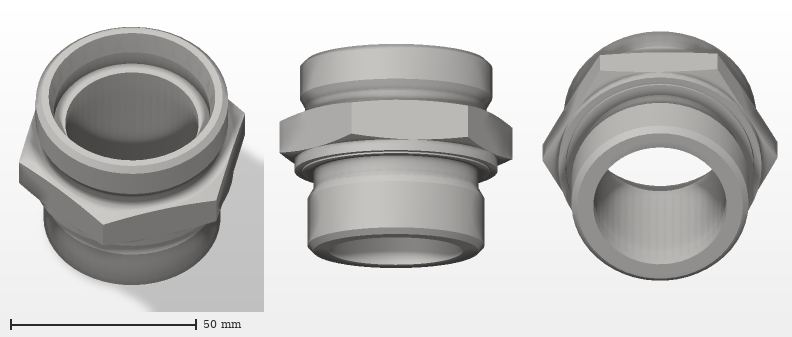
import cadquery as cq
import math

corner_diameter = 63.5
total_height = 52.0

hex_top = 36.0
hex_bottom = 25.1
hex_chamfer_angle = 15.0
collar_diameter = 54.9
collar_bottom = 22.1

upper_thread_diameter = 52.0
upper_thread_bottom = 42.1
upper_neck_diameter = 49.0
upper_root_fillet = 1.2

lower_thread_diameter = 47.8
lower_thread_top = 14.3
lower_neck_diameter = 44.5

thread_chamfer = 1.5
runout_angle = 30.0
upper_runout_fillet = 0.8
lower_runout_fillet = 1.45

bore_diameter = 36.0
socket_diameter = 42.3
socket_depth = 11.1
mouth_diameter = 45.0
mouth_cone_half_angle = 12.0

seal_diameter = 50.7
seal_recess_diameter = 51.0
seal_recess_depth = 1.9
seal_protrusion = 0.4


def cylinder(diameter, bottom, top):
    return cq.Workplane("XY").workplane(offset=bottom).circle(diameter / 2).extrude(top - bottom)


def cone(bottom_diameter, top_diameter, bottom, top):
    """Solid frustum between two heights on the Z axis."""
    return (
        cq.Workplane("XZ")
        .moveTo(0, bottom)
        .lineTo(bottom_diameter / 2, bottom)
        .lineTo(top_diameter / 2, top)
        .lineTo(0, top)
        .close()
        .revolve(360, (0, 0, 0), (0, 1, 0))
    )


def runout_height(thread_diameter, neck_diameter):
    return (thread_diameter - neck_diameter) / 2 / math.tan(math.radians(runout_angle))


def fillet_circle(body, height, radius):
    """Round the runout corner, the only edge lying at this height."""
    margin = 0.03
    reach = corner_diameter
    corner = cq.selectors.BoxSelector(
        (-reach, -reach, height - margin), (reach, reach, height + margin), boundingbox=True
    )
    return body.edges(corner).fillet(radius)


def make_upper_end():
    neck_top = upper_thread_bottom - runout_height(upper_thread_diameter, upper_neck_diameter)
    thread = cylinder(upper_thread_diameter, upper_thread_bottom, total_height)
    thread = thread.faces(">Z").edges().chamfer(thread_chamfer)
    runout = cone(upper_neck_diameter, upper_thread_diameter, neck_top, upper_thread_bottom)
    neck = cylinder(upper_neck_diameter, hex_top, neck_top)
    return fillet_circle(thread.union(runout).union(neck), neck_top, upper_runout_fillet)


def make_lower_end():
    neck_bottom = lower_thread_top + runout_height(lower_thread_diameter, lower_neck_diameter)
    thread = cylinder(lower_thread_diameter, 0, lower_thread_top)
    thread = thread.faces("<Z").edges().chamfer(thread_chamfer)
    runout = cone(lower_thread_diameter, lower_neck_diameter, lower_thread_top, neck_bottom)
    neck = cylinder(lower_neck_diameter, neck_bottom, hex_bottom)
    return fillet_circle(thread.union(runout).union(neck), neck_bottom, lower_runout_fillet)


def make_hexagon():
    """Hexagon with corners on Y, chamfered conically at both ends."""
    hexagon = (
        cq.Workplane("XY")
        .workplane(offset=hex_bottom)
        .transformed(rotate=(0, 0, 90))
        .polygon(6, corner_diameter)
        .extrude(hex_top - hex_bottom)
    )
    middle = (hex_top + hex_bottom) / 2
    spread = (hex_top - middle) / math.tan(math.radians(hex_chamfer_angle))
    middle_diameter = collar_diameter + 2 * spread
    envelope = cone(collar_diameter, middle_diameter, hex_bottom, middle).union(
        cone(middle_diameter, collar_diameter, middle, hex_top)
    )
    return hexagon.intersect(envelope)


def make_root_fillet():
    """Concave ring joining the upper neck to the top of the hexagon."""
    radius = upper_root_fillet
    neck_radius = upper_neck_diameter / 2
    offset = radius * (1 - math.cos(math.radians(45)))
    return (
        cq.Workplane("XZ")
        .moveTo(0, hex_top)
        .lineTo(neck_radius + radius, hex_top)
        .threePointArc((neck_radius + offset, hex_top + offset), (neck_radius, hex_top + radius))
        .lineTo(0, hex_top + radius)
        .close()
        .revolve(360, (0, 0, 0), (0, 1, 0))
    )


def make_socket():
    """Stepped bore with a conical mouth at the top."""
    cone_depth = (mouth_diameter - socket_diameter) / 2 / math.tan(math.radians(mouth_cone_half_angle))
    cone_bottom = total_height - cone_depth
    bore = cylinder(bore_diameter, 0, total_height)
    socket = cylinder(socket_diameter, total_height - socket_depth, cone_bottom)
    mouth = cone(socket_diameter, mouth_diameter, cone_bottom, total_height)
    return bore.union(socket).union(mouth)


def make_ring(outer_diameter, bottom):
    """Ring around the lower neck, reaching up to the roof of the seal recess."""
    top = collar_bottom + seal_recess_depth
    return cylinder(outer_diameter, bottom, top).cut(cylinder(lower_neck_diameter, bottom, top))


def make_fitting():
    body = make_hexagon().union(cylinder(collar_diameter, collar_bottom, hex_bottom))
    body = body.union(make_root_fillet()).union(make_upper_end()).union(make_lower_end())
    return body.cut(make_ring(seal_recess_diameter, collar_bottom)).cut(make_socket())


fitting = make_fitting()
seal = make_ring(seal_diameter, collar_bottom - seal_protrusion)

result = cq.Compound.makeCompound([fitting.solids().val(), seal.val()])